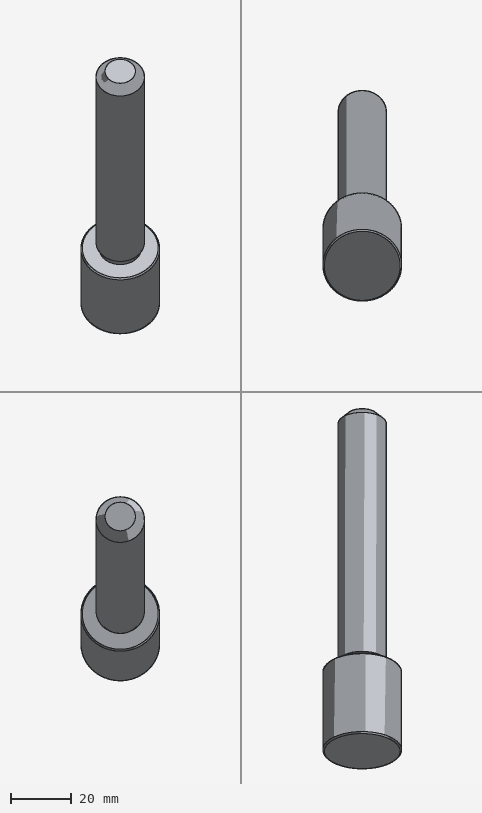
import cadquery as cq

total_length = 125.0
head_diameter = 26.0
head_height = 30.0
head_edge_chamfer = 0.5
neck_diameter = 14.0
neck_height = 3.0
shank_diameter = 16.0
tip_chamfer = 3.0

shank_base = head_height + neck_height
shank_length = total_length - shank_base


def cylinder(diameter, height, base):
    """Solid cylinder on the Z axis, standing on the height base."""
    return cq.Workplane("XY").workplane(offset=base).circle(diameter / 2).extrude(height)


head = cylinder(head_diameter, head_height, 0).edges().chamfer(head_edge_chamfer)

neck = cylinder(neck_diameter, neck_height, head_height)

shank = cylinder(shank_diameter, shank_length, shank_base).faces(">Z").chamfer(tip_chamfer)

result = head.union(neck).union(shank)